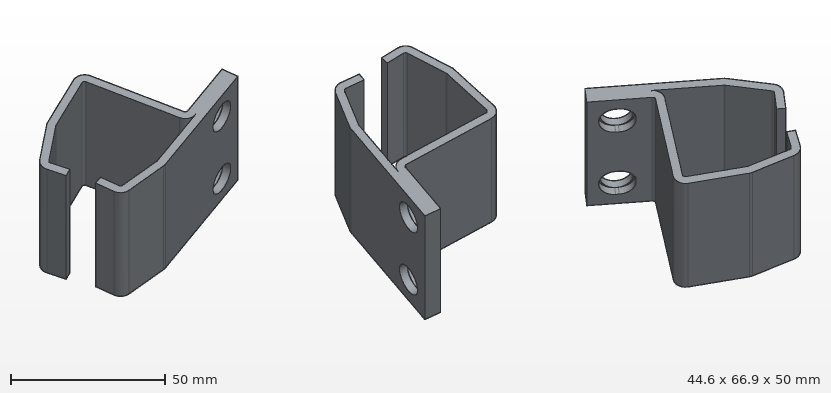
import cadquery as cq
import math

THICKNESS = 3.0
HEIGHT = 50.0
BEND_RADIUS = 1.0
DOWN = 270

LEFT_FLANGE = 21.3
LEFT_BENDS = [(-86, 34.05), (93, 20.3), (16, 15.35), (74, 6.85)]
RIGHT_FLANGE = 45.05
RIGHT_BENDS = [(-15, 15.4), (-75, 7.05)]

HOLE_DIAMETER = 11.0
SLOT_LENGTH = 12.2
HOLE_FROM_EDGE = 10.0
HOLE_HEIGHTS = (HOLE_FROM_EDGE, HEIGHT - HOLE_FROM_EDGE)


def polar(point, distance, angle):
    """Return the point at a distance and angle, in degrees, from another point."""
    radians = math.radians(angle)
    return (point[0] + distance * math.cos(radians), point[1] + distance * math.sin(radians))


def straight(start, heading, length):
    """Make the flat cross-section of a straight stretch and return it with its end point."""
    half = THICKNESS / 2
    end = polar(start, length, heading)
    corners = [
        polar(start, half, heading + 90),
        polar(end, half, heading + 90),
        polar(end, half, heading - 90),
        polar(start, half, heading - 90),
    ]
    return cq.Workplane("XY").polyline(corners).close().extrude(HEIGHT), end


def bend(start, heading, turn):
    """Make a bend of constant thickness and return it with its end point."""
    side = math.copysign(90, turn)
    outer_radius = BEND_RADIUS + THICKNESS
    middle_radius = BEND_RADIUS + THICKNESS / 2
    center = polar(start, middle_radius, heading + side)
    first = heading - side
    middle = first + turn / 2
    last = first + turn
    body = (
        cq.Workplane("XY")
        .moveTo(*polar(center, BEND_RADIUS, first))
        .threePointArc(polar(center, BEND_RADIUS, middle), polar(center, BEND_RADIUS, last))
        .lineTo(*polar(center, outer_radius, last))
        .threePointArc(polar(center, outer_radius, middle), polar(center, outer_radius, first))
        .close()
        .extrude(HEIGHT)
    )
    return body, polar(center, middle_radius, last)


def bent_sheet(start, flange_length, bends):
    """Follow the sheet's middle line from its flange edge to its lip."""
    heading = DOWN
    sheet, point = straight(start, heading, flange_length)
    for turn, length in bends:
        corner, point = bend(point, heading, turn)
        heading += turn
        flat, point = straight(point, heading, length)
        sheet = sheet.union(corner).union(flat)
    return sheet


def slot_cutters():
    """Elongated holes confined to the left flange."""
    cutters = cq.Workplane("YZ", origin=(-2 * THICKNESS, 0, 0))
    centers = [(-HOLE_FROM_EDGE, z) for z in HOLE_HEIGHTS]
    return cutters.pushPoints(centers).slot2D(SLOT_LENGTH, HOLE_DIAMETER).extrude(THICKNESS)


def round_cutters():
    """Round holes confined to the right flange."""
    cutters = cq.Workplane("YZ", origin=(-THICKNESS, 0, 0))
    centers = [(-HOLE_FROM_EDGE, z) for z in HOLE_HEIGHTS]
    return cutters.pushPoints(centers).circle(HOLE_DIAMETER / 2).extrude(THICKNESS)


left_sheet = bent_sheet((-1.5 * THICKNESS, 0), LEFT_FLANGE, LEFT_BENDS).cut(slot_cutters())
right_sheet = bent_sheet((-0.5 * THICKNESS, 0), RIGHT_FLANGE, RIGHT_BENDS).cut(round_cutters())

result = left_sheet.union(right_sheet)